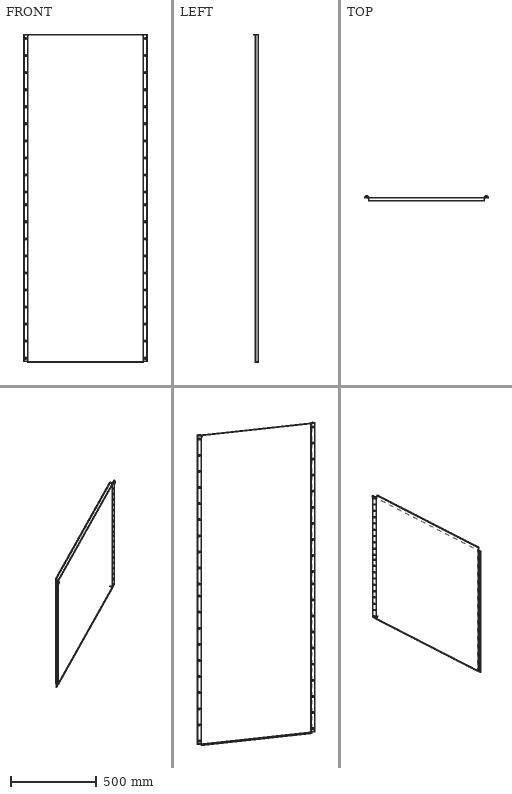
import cadquery as cq
import math

height = 1922.0
width = 725.0
depth = 29.0

sheet = 1.5
bend_inside = 2.0
bend_outside = bend_inside + sheet

tray_width = 680.0
tray_depth = 18.3

flange_lift = 4.0
flange_width = (width - tray_width) / 2
flange_height = height - flange_lift

tab_depth = depth - tray_depth
tab_chamfer = 7.3
tab_hole_diameter = 8.5

hole_diameter = 7.0
holes_per_half = 10
end_margin = 23.0
middle_gap = 75.0
hole_pitch = (height / 2 - end_margin - middle_gap / 2) / (holes_per_half - 1)

top = height / 2
bottom = -height / 2
front = -depth / 2
tray_back = front + tray_depth
flange_front = tray_back - sheet
flange_x = (tray_width + flange_width) / 2


def make_block(inset, front_radius):
    """Tray-sized block, inset from the front and the four walls, with a rounded front rim."""
    block = cq.Workplane("XY").box(tray_width - 2 * inset, tray_depth - inset, height - 2 * inset)
    block = block.faces("<Y").edges().fillet(front_radius)
    return block.translate((0, (front + inset + tray_back) / 2, 0))


def make_tray():
    return make_block(0, bend_outside).cut(make_block(sheet, bend_inside))


def make_flange(side):
    strip = cq.Workplane("XY").box(flange_width, sheet, flange_height)
    return strip.translate((side * flange_x, tray_back - sheet / 2, flange_lift / 2))


def make_bend(side):
    """Concave fillet where the front of the flange meets the side wall."""
    wall_x = side * tray_width / 2
    arc_offset = bend_inside * (1 - math.sqrt(0.5))
    return (
        cq.Workplane("XY", origin=(0, 0, bottom + flange_lift))
        .moveTo(wall_x, flange_front)
        .lineTo(wall_x, flange_front - bend_inside)
        .threePointArc(
            (wall_x + side * arc_offset, flange_front - arc_offset),
            (wall_x + side * bend_inside, flange_front),
        )
        .close()
        .extrude(flange_height)
    )


def make_tab(side):
    tab = cq.Workplane("XY").box(flange_width, tab_depth, sheet)
    tab = tab.faces(">Y").edges("|Z").chamfer(tab_chamfer)
    hole = cq.Workplane("XY").circle(tab_hole_diameter / 2).extrude(sheet, both=True)
    return tab.cut(hole).translate((side * flange_x, tray_back + tab_depth / 2, top - sheet / 2))


def make_flange_holes():
    heights = [middle_gap / 2 + i * hole_pitch for i in range(holes_per_half)]
    centres = [
        (side * flange_x, sign * z)
        for side in (-1, 1)
        for sign in (-1, 1)
        for z in heights
    ]
    pins = cq.Workplane("XZ", origin=(0, tray_back, 0)).pushPoints(centres).circle(hole_diameter / 2)
    return pins.extrude(2 * sheet)


result = make_tray()
for side in (-1, 1):
    result = result.union(make_flange(side)).union(make_bend(side)).union(make_tab(side))
result = result.cut(make_flange_holes())